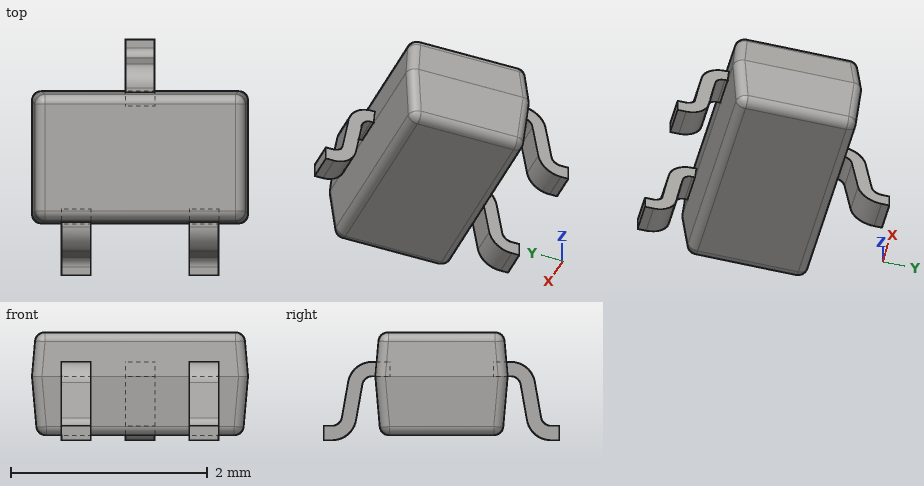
import cadquery as cq
import math

body_length = 2.2
body_width = 1.35
body_bottom = 0.05
body_top = 1.1
parting_height = 0.65
draft_angle = 5
edge_radius = 0.1

lead_span = 2.4
lead_width = 0.3
lead_thickness = 0.15
lead_pitch = 1.3
inner_bend_radius = 0.1
bend_angle = 80
foot_length = 0.086
embed_depth = 0.15


def make_housing_half(height):
    """Drafted half on the parting plane; a negative height goes downwards."""
    end_face = ">Z" if height > 0 else "<Z"
    half = cq.Workplane("XY").rect(body_length, body_width).extrude(height, taper=draft_angle)
    half = half.edges("not(#Z)").fillet(edge_radius)
    half = half.faces(end_face).edges().fillet(edge_radius)
    return half.translate((0, 0, parting_height))


def make_lead():
    """Lead on the -Y side, centred on X = 0, swept along its centreline."""
    bend_radius = inner_bend_radius + lead_thickness / 2
    angle = math.radians(bend_angle)
    bend_run = bend_radius * math.sin(angle)
    bend_rise = bend_radius * (1 - math.cos(angle))

    tip_y = -lead_span / 2
    root_y = -body_width / 2 + embed_depth
    foot_z = lead_thickness / 2
    shoulder_z = parting_height + lead_thickness / 2

    heel_y = tip_y + foot_length
    leg_start = (heel_y + bend_run, foot_z + bend_rise)
    leg_end_z = shoulder_z - bend_rise
    leg_end_y = leg_start[0] + (leg_end_z - leg_start[1]) / math.tan(angle)
    shoulder_y = leg_end_y + bend_run

    centreline = (
        cq.Workplane("YZ")
        .moveTo(tip_y, foot_z)
        .lineTo(heel_y, foot_z)
        .tangentArcPoint(leg_start, relative=False)
        .lineTo(leg_end_y, leg_end_z)
        .tangentArcPoint((shoulder_y, shoulder_z), relative=False)
        .lineTo(root_y, shoulder_z)
    )
    section = cq.Workplane("XZ", origin=(0, tip_y, foot_z)).rect(lead_width, lead_thickness)
    return section.sweep(centreline)


def make_leads():
    """Two leads on the -Y side and one centred on the +Y side."""
    placements = [(-lead_pitch / 2, 0), (lead_pitch / 2, 0), (0, 180)]
    return [
        make_lead().rotate((0, 0, 0), (0, 0, 1), turn).translate((x, 0, 0))
        for x, turn in placements
    ]


def make_housing(leads):
    """Both halves joined, with a matching pocket for each lead root."""
    upper = make_housing_half(body_top - parting_height)
    lower = make_housing_half(body_bottom - parting_height)
    housing = upper.union(lower)
    for lead in leads:
        housing = housing.cut(lead)
    return housing


leads = make_leads()
housing = make_housing(leads)

result = cq.Compound.makeCompound([housing.solids().val(), *[lead.val() for lead in leads]])